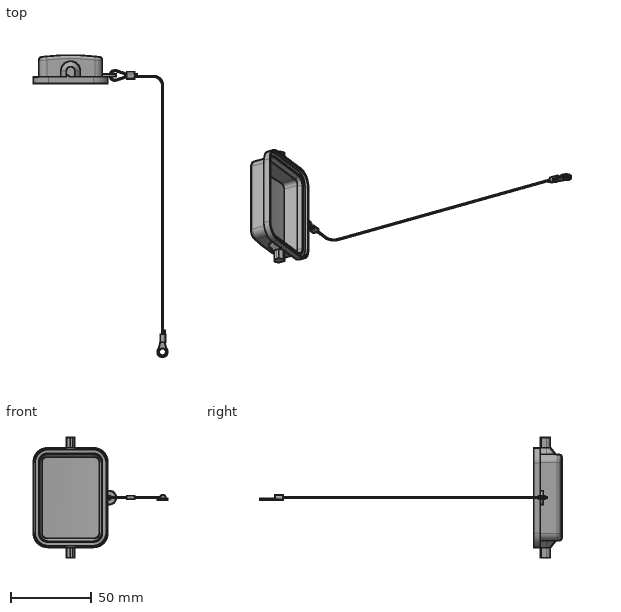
import cadquery as cq
import math


flange_width = 46.5
flange_height = 62.2
flange_radius = 9.2
flange_depth = 4.1

body_width = 39.8
body_height = 53.9
body_radius = 4.9
body_depth = 17.9
dome_rise = 1.5
back_fillet = 2.0
back_wall = 2.0

cavity_width = 35.6
cavity_height = 50.5
cavity_radius = 2.8

rim_width = 1.1
seat_depth = 1.9
seat_inset = 3.4
bevel_inset = 4.0
bevel_start = 2.3
bevel_end = 4.9

pin_tip = 37.5
pin_radius = 2.6
pin_root_radius = 6.0
pin_y = 8.0
pin_bevel_width = 2.5
pin_bevel_depth = 1.7
pin_small_bevel_width = 1.1
pin_small_bevel_depth = 0.5

tab_thickness = 1.9
tab_radius = 4.3
tab_x = 24.1
tab_hole_diameter = 2.3

cable_diameter = 0.96
cable_y = 4.5
cable_z = 0.1
strand_spacing = 1.1
loop_x = 27.7
loop_radius = 3.0
bend_radius = 5.7
stub_length = 1.7
strand_overlap = 0.5

crimp_x = 34.9
crimp_length = 5.0
crimp_width = 4.7
crimp_thickness = 2.5

total_depth = 188.5
eyelet_x = 57.3
eyelet_diameter = 6.6
eyelet_hole = 4.1
eyelet_thickness = 1.1
sleeve_diameter = 3.4
sleeve_length = 5.0
sleeve_offset = 0.28
sleeve_to_eye = 6.0
neck_width = 3.0
end_stub_length = 2.3
eyelet_y = body_depth - total_depth + eyelet_diameter / 2
sleeve_front = eyelet_y + sleeve_to_eye
sleeve_back = sleeve_front + sleeve_length


def rounded_block(width, height, radius, y_start, y_end):
    """Block with rounded corners in the XZ plane, running from y_start to y_end."""
    block = cq.Workplane("XY").box(width, y_end - y_start, height)
    return block.edges("|Y").fillet(radius).translate((0, (y_start + y_end) / 2, 0))


def opening(inset, y_start, y_end):
    """Block whose outline lies a fixed inset inside the flange outline."""
    return rounded_block(
        flange_width - 2 * inset, flange_height - 2 * inset, flange_radius - inset, y_start, y_end
    )


def domed_block(width, height, radius, apex):
    """Rounded block from the rim plane to a cylindrical back with its crest at the apex."""
    half_width = body_width / 2
    dome_radius = (half_width**2 + dome_rise**2) / (2 * dome_rise)
    dome = (
        cq.Workplane("XY", origin=(0, 0, -height / 2))
        .center(0, apex - dome_radius)
        .circle(dome_radius)
        .extrude(height)
    )
    return rounded_block(width, height, radius, 0, apex).intersect(dome)


def cover_shell():
    """Solid cover: the domed body with its flange."""
    body = domed_block(body_width, body_height, body_radius, body_depth)
    body = body.faces(">Y").edges().fillet(back_fillet)
    return body.union(opening(0, 0, flange_depth))


def outline(width, height, radius):
    """Rectangle with rounded corners."""
    return cq.Sketch().rect(width, height).vertices().fillet(radius)


def inset_outline(inset):
    """Flange outline moved inwards by the inset."""
    return outline(flange_width - 2 * inset, flange_height - 2 * inset, flange_radius - inset)


def tapered_band(front, back, y_start, y_end):
    """Solid that narrows evenly from the front outline to the back outline."""
    at_back = cq.Location(cq.Vector(0, 0, y_start - y_end))
    return cq.Workplane("XZ", origin=(0, y_start, 0)).placeSketch(front, back.moved(at_back)).loft()


def cavity():
    """Space inside the cover: main pocket, stepped seat and bevel between them."""
    pocket = domed_block(cavity_width, cavity_height, cavity_radius, body_depth - back_wall)
    step = opening(rim_width, 0, seat_depth)
    seat_edge = inset_outline(seat_inset)
    bevel_edge = inset_outline(bevel_inset)
    walls = outline(cavity_width, cavity_height, cavity_radius)
    edge_break = tapered_band(seat_edge, bevel_edge, seat_depth, bevel_start)
    bevel = tapered_band(bevel_edge, walls, bevel_start, bevel_end)
    return pocket.union(step).union(edge_break).union(bevel)


def arch(radius, z):
    """Outline with a round top about the pin axis and straight sides down to the flange."""
    return (
        cq.Workplane("XY", origin=(0, 0, z))
        .moveTo(-radius, flange_depth)
        .lineTo(-radius, pin_y)
        .threePointArc((0, pin_y + radius), (radius, pin_y))
        .lineTo(radius, flange_depth)
        .close()
    )


def locking_pin():
    """Upper pin: a tapered root on the body wall and a bevelled pin standing on it."""
    root_start = body_height / 2
    root_end = flange_height / 2
    root_outline = arch(pin_root_radius, root_start).wires().val()
    top_outline = arch(pin_radius, root_end).wires().val()
    root = cq.Workplane(cq.Solid.makeLoft([root_outline, top_outline], True))
    pin = (
        cq.Workplane("XY", origin=(0, 0, root_start))
        .moveTo(-pin_radius, flange_depth + pin_bevel_depth)
        .lineTo(-pin_radius, pin_y)
        .threePointArc((0, pin_y + pin_radius), (pin_radius, pin_y))
        .lineTo(pin_radius, flange_depth + pin_small_bevel_depth)
        .lineTo(pin_radius - pin_small_bevel_width, flange_depth)
        .lineTo(-pin_radius + pin_bevel_width, flange_depth)
        .close()
        .extrude(pin_tip - root_start)
    )
    return root.union(pin)


def tether_tab():
    """Round-ended tab behind the flange with the hole that holds the cable loop."""
    inner_x = (cavity_width + body_width) / 4
    tab = (
        cq.Workplane("XZ", origin=(0, flange_depth, 0))
        .moveTo(inner_x, -tab_radius)
        .lineTo(tab_x, -tab_radius)
        .threePointArc((tab_x + tab_radius, 0), (tab_x, tab_radius))
        .lineTo(inner_x, tab_radius)
        .close()
        .extrude(-tab_thickness)
    )
    hole = (
        cq.Workplane("XZ", origin=(tab_x, flange_depth, 0))
        .circle(tab_hole_diameter / 2)
        .extrude(-tab_thickness)
    )
    return tab.cut(hole)


def cable_along(path, start, direction):
    """Round cable swept along a path in the plane of the cable."""
    plane = cq.Plane(origin=(start[0], start[1], cable_z), xDir=(0, 0, 1), normal=direction)
    return cq.Workplane(plane).circle(cable_diameter / 2).sweep(path)


def cable_loop():
    """Teardrop loop through the tab, its two strands meeting in the crimp."""
    loop_y = cable_y + strand_spacing / 2
    end_x = crimp_x + strand_overlap
    reach = end_x - loop_x
    rise = strand_spacing / 2
    touch = math.atan2(rise, reach) + math.acos(loop_radius / math.hypot(reach, rise))
    touch_x = loop_x + loop_radius * math.cos(touch)
    touch_rise = loop_radius * math.sin(touch)
    path = (
        cq.Workplane("XY", origin=(0, 0, cable_z))
        .moveTo(end_x, loop_y + rise)
        .lineTo(touch_x, loop_y + touch_rise)
        .threePointArc((loop_x - loop_radius, loop_y), (touch_x, loop_y - touch_rise))
        .lineTo(end_x, loop_y - rise)
    )
    direction = (touch_x - end_x, touch_rise - rise, 0)
    return cable_along(path, (end_x, loop_y + rise), direction)


def crimp():
    """Flattened sleeve around both strands, with the cut strand end standing out."""
    centre = (crimp_x, cable_y + strand_spacing / 2, cable_z)
    sleeve = cq.Workplane("YZ", origin=centre).slot2D(crimp_width, crimp_thickness).extrude(crimp_length)
    stub = (
        cq.Workplane("YZ", origin=(crimp_x, cable_y + strand_spacing, cable_z))
        .circle(cable_diameter / 2)
        .extrude(crimp_length + stub_length)
    )
    return sleeve.union(stub)


def long_cable():
    """Run from the crimp, round a right-angle bend, to the eyelet sleeve."""
    start = (crimp_x + crimp_length / 2, cable_y)
    bend_x = eyelet_x - bend_radius
    bend_y = cable_y - bend_radius
    diagonal = bend_radius * math.sqrt(0.5)
    path = (
        cq.Workplane("XY", origin=(0, 0, cable_z))
        .moveTo(*start)
        .lineTo(bend_x, cable_y)
        .threePointArc((bend_x + diagonal, bend_y + diagonal), (eyelet_x, bend_y))
        .lineTo(eyelet_x, (sleeve_front + sleeve_back) / 2)
    )
    return cable_along(path, start, (1, 0, 0))


def eyelet():
    """Flat ring terminal, its sleeve and the cut cable end beside the cable."""
    sleeve = (
        cq.Workplane("XZ", origin=(eyelet_x + sleeve_offset, sleeve_back, cable_z))
        .circle(sleeve_diameter / 2)
        .extrude(sleeve_length)
    )
    stub = (
        cq.Workplane("XZ", origin=(eyelet_x + strand_spacing, sleeve_back + end_stub_length, cable_z))
        .circle(cable_diameter / 2)
        .extrude(end_stub_length + sleeve_length / 2)
    )
    plate_z = cable_z - sleeve_diameter / 2
    eye_radius = eyelet_diameter / 2
    plane = cq.Workplane("XY", origin=(eyelet_x, eyelet_y, plate_z))
    half_neck = neck_width / 2
    flank = math.sqrt(0.5) * eye_radius
    neck_end = sleeve_to_eye + sleeve_length / 2
    neck = (
        plane.moveTo(-flank, flank)
        .lineTo(-half_neck, sleeve_to_eye)
        .lineTo(-half_neck, neck_end)
        .lineTo(half_neck, neck_end)
        .lineTo(half_neck, sleeve_to_eye)
        .lineTo(flank, flank)
        .close()
        .extrude(eyelet_thickness)
    )
    ring = plane.circle(eye_radius).extrude(eyelet_thickness)
    hole = plane.circle(eyelet_hole / 2).extrude(eyelet_thickness)
    return sleeve.union(stub).union(ring.union(neck).cut(hole))


upper_pin = locking_pin()
cover = cover_shell().union(upper_pin).union(upper_pin.mirror("XY")).union(tether_tab())
cover = cover.cut(cavity())

result = cover.union(cable_loop()).union(crimp()).union(long_cable()).union(eyelet())